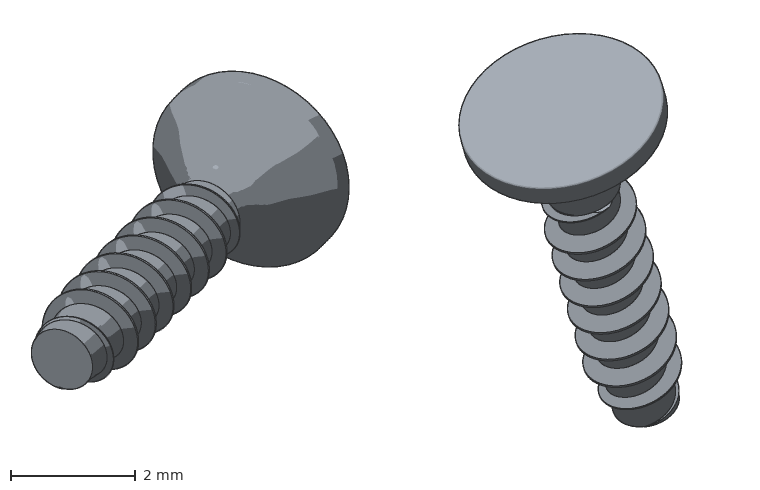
import cadquery as cq
import math


LENGTH = 7.0

HEAD_RADIUS = 3.35 / 2
HEAD_BAND_DEPTH = 0.36
HEAD_TOP_ROUND = 0.025
HEAD_RIM_ROUND = 0.06
CONE_ANGLE = math.radians(45)
SHANK_RADIUS = 0.615
NECK_FILLET = 0.6
SHANK_END_DEPTH = 1.82
NECK_END_DEPTH = 2.06

PITCH = 0.64
CORE_RADIUS = 0.535
CREST_RADIUS = 0.795
CREST_WIDTH = 0.04
ROOT_RADIUS = 0.45
BURIED_RADIUS = 0.525
HEAD_SIDE_FOOT = 0.16
HEAD_SIDE_BEND = 0.06
BEND_RADIUS = 0.675
TIP_SIDE_FOOT = 0.085
TIP_FOOT_RADIUS = 0.577
TAPER_END = 0.46

CREST_DEPTH_AT_X = 2.04
RUN_START_DEPTH = 1.56
FULL_CREST_DEPTH = 2.52
FADE_DEPTH = 6.04
FADE_END_DEPTH = LENGTH
START_CREST_RADIUS = 0.64
FADED_CREST_RADIUS = 0.545
RUN_TURNS = 9
SEGMENTS_PER_TURN = 2
SEGMENT_STEPS = 12

TIP_DIMPLE_RADIUS = 0.51
TIP_DIMPLE_DEPTH = 0.03


def make_body():
    """Head, neck fillet, shank and thread core as one turned solid."""
    neck_cone_radius = SHANK_RADIUS + NECK_FILLET * (1 - math.cos(CONE_ANGLE))
    neck_cone_depth = HEAD_BAND_DEPTH + (HEAD_RADIUS - neck_cone_radius) / math.tan(CONE_ANGLE)
    fillet_end_depth = neck_cone_depth + NECK_FILLET * math.sin(CONE_ANGLE)
    half_angle = CONE_ANGLE / 2
    fillet_mid = (
        SHANK_RADIUS + NECK_FILLET * (1 - math.cos(half_angle)),
        -(fillet_end_depth - NECK_FILLET * math.sin(half_angle)),
    )
    rim_setback = HEAD_RIM_ROUND * math.tan(half_angle)
    rim_start_depth = HEAD_BAND_DEPTH - rim_setback
    rim_mid = (
        HEAD_RADIUS - HEAD_RIM_ROUND * (1 - math.cos(half_angle)),
        -(rim_start_depth + HEAD_RIM_ROUND * math.sin(half_angle)),
    )
    rim_end = (
        HEAD_RADIUS - rim_setback * math.sin(CONE_ANGLE),
        -(HEAD_BAND_DEPTH + rim_setback * math.cos(CONE_ANGLE)),
    )
    top_inset = HEAD_TOP_ROUND * (1 - math.sin(math.pi / 4))
    return (
        cq.Workplane("XY")
        .moveTo(0, 0)
        .lineTo(HEAD_RADIUS - HEAD_TOP_ROUND, 0)
        .threePointArc((HEAD_RADIUS - top_inset, -top_inset), (HEAD_RADIUS, -HEAD_TOP_ROUND))
        .lineTo(HEAD_RADIUS, -rim_start_depth)
        .threePointArc(rim_mid, rim_end)
        .lineTo(neck_cone_radius, -neck_cone_depth)
        .threePointArc(fillet_mid, (SHANK_RADIUS, -fillet_end_depth))
        .lineTo(SHANK_RADIUS, -SHANK_END_DEPTH)
        .lineTo(CORE_RADIUS, -NECK_END_DEPTH)
        .lineTo(CORE_RADIUS, -LENGTH)
        .lineTo(0, -LENGTH)
        .close()
        .revolve(360, (0, 0, 0), (0, 1, 0))
    )


def crest_radius_at(depth):
    """Crest radius: grows at the start, is constant, then fades near the tip."""
    if depth < FULL_CREST_DEPTH:
        part = (depth - RUN_START_DEPTH) / (FULL_CREST_DEPTH - RUN_START_DEPTH)
        return START_CREST_RADIUS + part * (CREST_RADIUS - START_CREST_RADIUS)
    part = (depth - FADE_DEPTH) / (FADE_END_DEPTH - FADE_DEPTH)
    part = min(max(part, 0), 1)
    return CREST_RADIUS + part * (FADED_CREST_RADIUS - CREST_RADIUS)


def thread_profile(depth):
    """Thread section at a crest depth, as (axial offset, radius) corners.

    The ridge shrinks in height and width together where the crest is not full.
    """
    crest = crest_radius_at(depth)
    growth = (crest - CORE_RADIUS) / (CREST_RADIUS - CORE_RADIUS)
    bend = CORE_RADIUS + growth * (BEND_RADIUS - CORE_RADIUS)
    tip_foot_radius = min(TIP_FOOT_RADIUS, crest)
    return [
        (-HEAD_SIDE_FOOT * growth, ROOT_RADIUS),
        (-HEAD_SIDE_FOOT * growth, BURIED_RADIUS),
        (-HEAD_SIDE_BEND * growth, bend),
        (-CREST_WIDTH / 2 * growth, crest),
        (CREST_WIDTH / 2 * growth, crest),
        (TIP_SIDE_FOOT * growth, tip_foot_radius),
        (TAPER_END, BURIED_RADIUS),
        (TAPER_END, ROOT_RADIUS),
    ]


def profile_points(depth):
    """Corners of the thread section in space; the angle runs from +X toward +Z."""
    angle = 2 * math.pi * (depth - CREST_DEPTH_AT_X) / PITCH
    return [
        cq.Vector(radius * math.cos(angle), -(depth + offset), radius * math.sin(angle))
        for offset, radius in thread_profile(depth)
    ]


def make_thread():
    """Helical thread closed by ruled faces, trimmed to the threaded length."""
    segment_length = PITCH / SEGMENTS_PER_TURN
    faces = []
    for segment in range(RUN_TURNS * SEGMENTS_PER_TURN):
        start = RUN_START_DEPTH + segment * segment_length
        depths = [start + segment_length * i / SEGMENT_STEPS for i in range(SEGMENT_STEPS + 1)]
        sections = [profile_points(depth) for depth in depths]
        helices = [cq.Edge.makeSpline(list(corner), parameters=depths) for corner in zip(*sections)]
        next_helices = helices[1:] + helices[:1]
        faces += [cq.Face.makeRuledSurface(a, b) for a, b in zip(helices, next_helices)]

    for depth in (RUN_START_DEPTH, RUN_START_DEPTH + RUN_TURNS * PITCH):
        end_outline = cq.Wire.makePolygon(profile_points(depth), close=True)
        faces.append(cq.Face.makeFromWires(end_outline))
    thread = cq.Solid.makeSolid(cq.Shell.makeShell(faces)).fix()

    threaded_length = cq.Solid.makeCylinder(
        HEAD_RADIUS, LENGTH - SHANK_END_DEPTH, cq.Vector(0, -SHANK_END_DEPTH, 0), cq.Vector(0, -1, 0)
    )
    return cq.Workplane(obj=thread).intersect(cq.Workplane(obj=threaded_length))


def make_tip_dimple():
    """Shallow spherical hollow in the end face."""
    sphere_radius = (TIP_DIMPLE_RADIUS**2 + TIP_DIMPLE_DEPTH**2) / (2 * TIP_DIMPLE_DEPTH)
    center_depth = LENGTH - TIP_DIMPLE_DEPTH + sphere_radius
    return cq.Workplane("XY").sphere(sphere_radius).translate((0, -center_depth, 0))


result = make_body().union(make_thread(), clean=False).cut(make_tip_dimple(), clean=False)